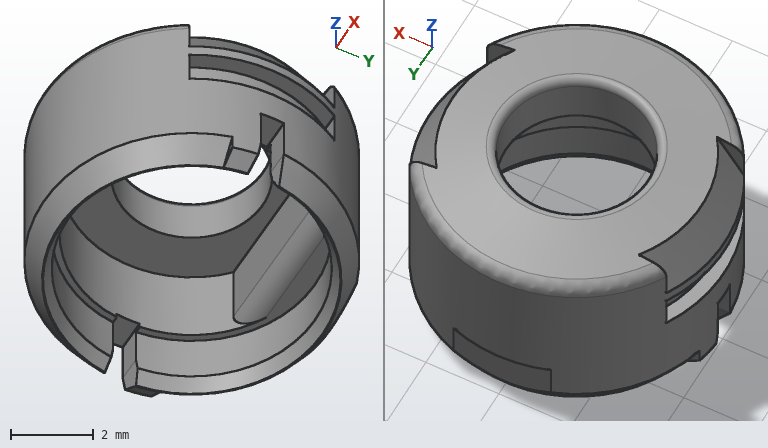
import cadquery as cq
import math

outer_radius = 4.05
height = 5.3
crown_angle = math.radians(11)
crown_fillet = 0.365
bottom_outer_radius = 3.62
bottom_chamfer_height = 0.7

hole_radius = 3.9 / 2
hole_fillet = 0.2
chamber_radius = 6.4 / 2
chamber_ceiling = 3.91
chamber_floor = 1.74
skirt_radius = 3.385
skirt_mouth_radius = 3.6
skirt_bevel_height = 0.405

key_face_y = 2.35
key_fillet = 0.5

relief_width = 4.0
shoulder_bottom = 3.96
shoulder_top = 5.07
shoulder_top_radius = 3.41
groove_bottom = 2.745
groove_top = 3.645
groove_floor_radius = 3.645
clear_radius = 4.86

slot_half_width = 0.315
slot_mouth_half_width = 0.43
slot_top = 1.855
tab_far_y = 1.04
tab_chamfer_height = 0.3

flat_y = 3.82
flat_top = 1.6

rim_radius = hole_radius + hole_fillet * (1 + math.sin(crown_angle))
rim_z = height - hole_fillet * (1 - math.cos(crown_angle))
crown_apex_z = rim_z + rim_radius * math.tan(crown_angle)
crown_edge_z = crown_apex_z - outer_radius * math.tan(crown_angle)


def turned(profile):
    """Revolve (radius, z) points about the Z axis."""
    return cq.Workplane("XZ").polyline(profile).close().revolve(360, (0, 0, 0), (0, 1, 0))


def block(x_range, y_range, z_range):
    """Axis-aligned box between the given limits."""
    lows, highs = zip(x_range, y_range, z_range)
    size = [high - low for low, high in zip(lows, highs)]
    return cq.Workplane("XY").box(*size, centered=False).translate(lows)


def solid_body(chamfer_height):
    """Outer form with its crown, rounded shoulder and bottom chamfer."""
    body = turned([
        (0, 0),
        (bottom_outer_radius, 0),
        (outer_radius, chamfer_height),
        (outer_radius, crown_edge_z),
        (0, crown_apex_z),
    ])
    return body.edges("%CIRCLE").edges(">>Z[-1]").fillet(crown_fillet)


def outer_body():
    """Main body plus two opposite tabs that have a shorter bottom chamfer."""
    body = solid_body(bottom_chamfer_height)
    tab = solid_body(tab_chamfer_height).intersect(
        block((-outer_radius, 0), (0, tab_far_y), (0, bottom_chamfer_height))
    )
    for angle in (0, 180):
        body = body.union(tab.rotate((0, 0, 0), (0, 0, 1), angle))
    return body


def bore():
    """Rounded top hole, chamber with its key left standing, and bevelled skirt."""
    hole = (
        cq.Workplane("XZ")
        .moveTo(0, chamber_ceiling)
        .lineTo(hole_radius, chamber_ceiling)
        .lineTo(hole_radius, height - hole_fillet)
        .radiusArc((rim_radius, rim_z), hole_fillet)
        .lineTo(rim_radius, crown_apex_z)
        .lineTo(0, crown_apex_z)
        .close()
        .revolve(360, (0, 0, 0), (0, 1, 0))
    )
    key = block(
        (-outer_radius, outer_radius), (key_face_y, outer_radius), (chamber_floor, chamber_ceiling)
    ).edges("<Y and <Z").fillet(key_fillet)
    chamber = (
        cq.Workplane("XY", origin=(0, 0, chamber_floor))
        .circle(chamber_radius)
        .extrude(chamber_ceiling - chamber_floor)
        .cut(key)
    )
    skirt = turned([
        (0, 0),
        (skirt_mouth_radius, 0),
        (skirt_radius, skirt_bevel_height),
        (skirt_radius, chamber_floor),
        (0, chamber_floor),
    ])
    return hole.union(chamber).union(skirt)


def side_reliefs():
    """Shoulder and groove cutters, limited to the relief width on both X sides."""
    slope = (outer_radius - shoulder_top_radius) / (shoulder_top - shoulder_bottom)
    shoulder = turned([
        (outer_radius, shoulder_bottom),
        (clear_radius, shoulder_bottom),
        (clear_radius, height),
        (outer_radius - slope * (height - shoulder_bottom), height),
    ])
    groove = turned([
        (groove_floor_radius, groove_bottom),
        (clear_radius, groove_bottom),
        (clear_radius, groove_top),
        (groove_floor_radius, groove_top),
    ])
    band = block(
        (-clear_radius, clear_radius), (-relief_width / 2, relief_width / 2), (0, height)
    )
    return shoulder.union(groove).intersect(band)


def cross_slot():
    """Slot along X through both walls, flared over the bottom chamfer height."""
    return (
        cq.Workplane("YZ")
        .polyline([
            (-slot_mouth_half_width, 0),
            (slot_mouth_half_width, 0),
            (slot_half_width, bottom_chamfer_height),
            (slot_half_width, slot_top),
            (-slot_half_width, slot_top),
            (-slot_half_width, bottom_chamfer_height),
        ])
        .close()
        .extrude(outer_radius, both=True)
    )


outer_flat = block((-outer_radius, outer_radius), (flat_y, outer_radius), (0, flat_top))

result = outer_body()
for cutter in (bore(), side_reliefs(), cross_slot(), outer_flat):
    result = result.cut(cutter)